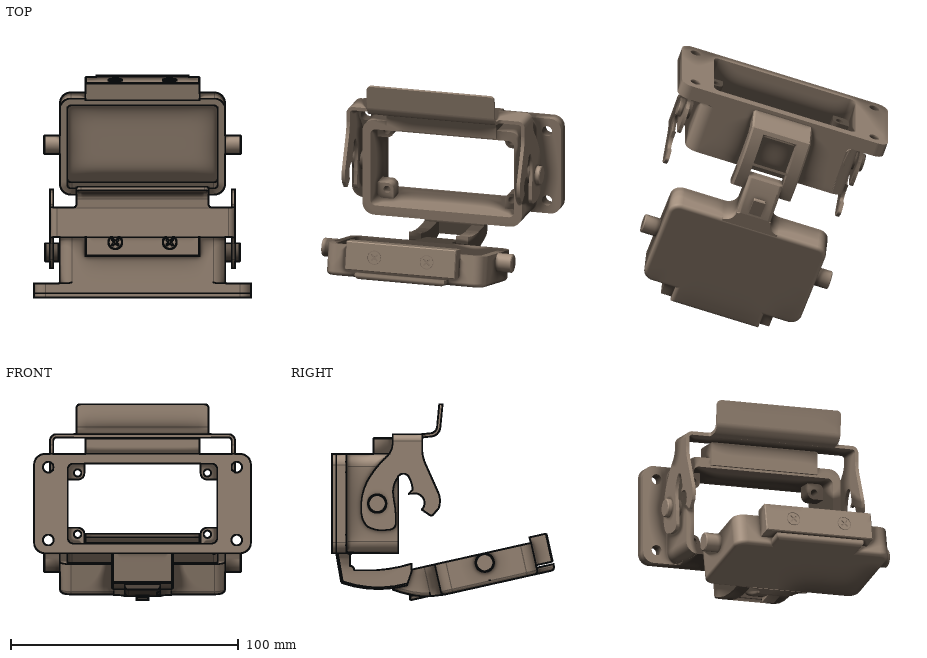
import cadquery as cq
import math


flange_width = 95.5
flange_half_x = flange_width / 2
flange_half_z = 21.9
flange_corner_radius = 4.9
gasket_thickness = 1.9
flange_back_y = 6.3
mount_hole_x = 41.4
mount_hole_z = 16.0
mount_hole_diameter = 4.6

frame_back_y = 29.2
frame_half_x = 36.4
frame_half_z = flange_half_z
frame_corner_radius = 5.4
frame_root_fillet = 0.5
opening_half_x = 32.8
opening_half_z = 17.6
opening_corner_radius = 2.4

boss_size_x = 7.3
boss_size_z = 7.0
boss_front_y = 9.7
boss_back_y = 17.7
boss_corner_radius = 2.9
boss_hole_x = 28.5
boss_hole_z = 13.5
boss_hole_diameter = 3.1

strip_half_x = 25.1
strip_chamfer = 0.4
strip_length = 12.3
frame_strip_front_y = 18.3
frame_strip_top_z = 28.9
screw_spacing = 23.9
screw_radius = 3.1
screw_ring_width = 0.3
cross_length = 3.9
cross_width = 0.8
screw_mark_depth = 0.4

arm_half_x = 13.6
arm_edge_chamfer = 0.8
arm_root_z = -20.9
arm_inner_z = -29.2
arm_post_back_y = 8.0
arm_inner_radius = 1.9
arm_toe_chamfer = 0.5
arm_tip_y = 35.1
arm_belly_y = 19.8
arm_belly_z = -37.6
arm_toe_y = 4.1
arm_toe_z = -34.8
slot_half_x = 7.9
slot_front_y = 6.35

lever_half_x = 40.7
sheet = 1.6
lever_top_z = 30.6
lever_bend_radius = 3.0
strap_front_y = 26.7
strap_back_y = 39.8
grip_half_x = 29.1
grip_root_slope = 6.0
grip_lean = 5.5
grip_bend_y = 43.2
grip_bend_z = 34.0
grip_bend_radius = 3.0
grip_top_z = 43.8
grip_corner_radius = 2.0
grip_root_radius = 1.2

pin_radius = 4.1
pin_end_chamfer = 0.4
pivot_y = 19.9
pivot_outer_x = 43.0
pivot_left_inner_x = 37.0
pivot_right_inner_x = frame_half_x
cover_pin_outer_x = 43.4

cover_tilt = 12.6
cover_pin_y = 67.2
cover_pin_z = -26.0
cover_half_x = 36.3
cover_near_y = -21.6
cover_far_y = 21.8
cover_rim_z = pin_radius
cover_bottom_z = -9.9
cover_corner_radius = 4.9
cover_bottom_fillet = 1.8
cover_floor = 1.9
cover_cavity_half_x = 33.1
cover_cavity_half_y = 18.8
cover_cavity_radius = 2.0
cover_strip_back_y = 29.3
cover_strip_top_z = 6.6
cover_strip_bottom_z = -6.1
lip_half_x = 20.4
lip_back_y = 29.4
lip_thickness = 2.7
tongue_half_x = 7.8
tongue_root_radius = 4.9
tongue_tip_y = -42.1
tongue_tip_z = -2.7
tongue_bottom_fillet = 1.6
tongue_root_y = -27.0
tongue_root_z = -9.2
tongue_mid_y = -35.2
tongue_mid_z = -6.5
tab_half_x = 2.7
tab_tip_y = -35.6
tab_root_y = -23.4
tab_bottom_z = -9.0
tab_thickness = 1.9
tab_chamfer = 0.4

strip_embed = 0.2
embed = 1.0


def block(x0, x1, y0, y1, z0, z1):
    """Box between two opposite corners."""
    return cq.Workplane("XY").box(x1 - x0, y1 - y0, z1 - z0, centered=False).translate((x0, y0, z0))


def plate_y(half_x, half_z, radius, y0, y1):
    """Rounded rectangle centred on the Y axis, from y0 to y1."""
    depth = y1 - y0
    plate = cq.Workplane("XZ", origin=(0, y0, 0)).rect(2 * half_x, 2 * half_z).extrude(-depth)
    return plate.edges("|Y").fillet(radius)


def cylinder_y(x, z, diameter, y0, y1):
    """Cylinder along Y."""
    return cq.Workplane("XZ", origin=(x, y0, z)).circle(diameter / 2).extrude(y0 - y1)


def side_profile(half_x):
    """Workplane drawn in Y and Z whose extrusion of 2 * half_x is centred on X = 0."""
    return cq.Workplane("YZ", origin=(-half_x, 0, 0))


def pin(inner_x, outer_x, y, z):
    """Pin along X with its free end chamfered."""
    free_end = ">X" if outer_x > 0 else "<X"
    body = cq.Workplane("YZ", origin=(inner_x, y, z)).circle(pin_radius).extrude(outer_x - inner_x)
    return body.faces(free_end).chamfer(pin_end_chamfer)


def screw_marks():
    """Ring and cross grooves of two screw heads, sunk below the plane Z = 0."""
    heads = cq.Workplane("XY").pushPoints([(-screw_spacing / 2, 0), (screw_spacing / 2, 0)])
    rings = heads.circle(screw_radius).circle(screw_radius - screw_ring_width).extrude(-screw_mark_depth)
    bars = heads.slot2D(cross_length, cross_width, 45).extrude(-screw_mark_depth)
    bars = bars.union(heads.slot2D(cross_length, cross_width, -45).extrude(-screw_mark_depth))
    return rings.union(bars)


def cut_mount_holes(body):
    """Four mounting holes through the flange and the gasket."""
    for x in (-mount_hole_x, mount_hole_x):
        for z in (-mount_hole_z, mount_hole_z):
            body = body.cut(cylinder_y(x, z, mount_hole_diameter, 0, flange_back_y))
    return body


def opening(y0, y1):
    """Rectangular passage through the gasket and the frame."""
    return plate_y(opening_half_x, opening_half_z, opening_corner_radius, y0, y1)


def make_gasket():
    """Flat seal in front of the flange."""
    gasket = plate_y(flange_half_x, flange_half_z, flange_corner_radius, 0, gasket_thickness)
    return cut_mount_holes(gasket.cut(opening(0, gasket_thickness)))


def frame_shell():
    """Flange with the frame standing on it, filleted where the side walls meet the flange."""
    flange = plate_y(flange_half_x, flange_half_z, flange_corner_radius, gasket_thickness, flange_back_y)
    frame = plate_y(frame_half_x, frame_half_z, frame_corner_radius, flange_back_y, frame_back_y)
    shell = flange.union(frame)
    for x in (-frame_half_x, frame_half_x):
        root_edge = cq.selectors.NearestToPointSelector((x, flange_back_y, 0))
        shell = shell.edges(root_edge).fillet(frame_root_fillet)
    return shell


def frame_bosses():
    """Bored screw bosses in the four corners of the passage."""
    bosses = cq.Workplane("XY")
    for side_x in (-1, 1):
        for side_z in (-1, 1):
            outer_x = opening_half_x + embed
            outer_z = opening_half_z + embed
            boss = block(opening_half_x - boss_size_x, outer_x, boss_front_y, boss_back_y,
                         opening_half_z - boss_size_z, outer_z)
            boss = boss.edges("|Y and <X and <Z").fillet(boss_corner_radius)
            hole = cylinder_y(boss_hole_x, boss_hole_z, boss_hole_diameter, boss_front_y, boss_back_y)
            boss = boss.cut(hole)
            if side_x < 0:
                boss = boss.mirror("YZ")
            if side_z < 0:
                boss = boss.mirror("XY")
            bosses = bosses.union(boss)
    return bosses


def frame_strip():
    """Screw strip on top of the frame."""
    back_y = frame_strip_front_y + strip_length
    strip = block(-strip_half_x, strip_half_x, frame_strip_front_y, back_y, opening_half_z + embed,
                  frame_strip_top_z)
    strip = strip.faces(">Z").chamfer(strip_chamfer)
    middle_y = frame_strip_front_y + strip_length / 2
    return strip.cut(screw_marks().translate((0, middle_y, frame_strip_top_z)))


def hinge_arm():
    """Curved arm reaching back below the frame, forked around the cover tongue."""
    arm = (
        side_profile(arm_half_x)
        .moveTo(gasket_thickness, arm_root_z)
        .lineTo(arm_post_back_y, arm_root_z)
        .lineTo(arm_post_back_y, arm_inner_z + arm_inner_radius)
        .radiusArc((arm_post_back_y + arm_inner_radius, arm_inner_z), arm_inner_radius)
        .lineTo(arm_belly_y, arm_inner_z)
        .threePointArc((27.6, -28.2), (arm_tip_y, -26.4))
        .lineTo(arm_tip_y, -29.8)
        .lineTo(33.0, -36.0)
        .threePointArc((arm_belly_y, arm_belly_z), (arm_toe_y, arm_toe_z))
        .lineTo(gasket_thickness, -flange_half_z)
        .close()
        .extrude(2 * arm_half_x)
    )
    for x in (-arm_half_x, arm_half_x):
        front_edge = ((gasket_thickness + arm_toe_y) / 2, (arm_toe_z - flange_half_z) / 2)
        for y, z in (front_edge, (arm_belly_y, arm_belly_z)):
            rim = cq.selectors.NearestToPointSelector((x, y, z))
            arm = arm.edges(rim).chamfer(arm_edge_chamfer)
    toe = cq.selectors.NearestToPointSelector((0, arm_toe_y, arm_toe_z))
    arm = arm.edges(toe).chamfer(arm_toe_chamfer)
    slot = block(-slot_half_x, slot_half_x, slot_front_y, arm_tip_y, arm_belly_z, arm_inner_z)
    post_end_y = arm_post_back_y + arm_inner_radius
    tip_slot = block(-slot_half_x, slot_half_x, post_end_y, arm_tip_y, arm_inner_z, arm_root_z)
    return arm.cut(slot).cut(tip_slot)


def pivot_pins():
    """Lever pivots; the left one stops short of the frame, the right one touches it."""
    left = pin(-pivot_left_inner_x, -pivot_outer_x, pivot_y, 0)
    right = pin(pivot_right_inner_x, pivot_outer_x, pivot_y, 0)
    return left, right


def make_housing():
    housing = frame_shell().union(frame_strip()).cut(opening(0, frame_strip_front_y + strip_length))
    return cut_mount_holes(housing).union(frame_bosses()).union(hinge_arm())


def lever_legs():
    """Two hooked legs cut from the same side outline."""
    top_z = lever_top_z - lever_bend_radius
    outline = (
        side_profile(lever_half_x)
        .moveTo(strap_back_y, lever_top_z)
        .lineTo(strap_back_y, 23.5)
        .threePointArc((40.2, 20.5), (41.1, 17.6))
        .lineTo(46.6, 5.3)
        .threePointArc((47.6, 1.5), (47.0, -2.1))
        .lineTo(44.6, -4.9)
        .threePointArc((43.8, -5.3), (43.0, -5.1))
        .lineTo(39.5, -2.6)
        .threePointArc((40.5, 1.4), (36.9, 4.4))
        .lineTo(33.7, 4.2)
        .lineTo(35.5, 6.1)
        .threePointArc((35.1, 8.6), (34.0, 11.3))
        .threePointArc((31.5, 13.1), (28.9, 11.4))
        .threePointArc((27.2, 7.6), (27.1, 2.9))
        .lineTo(27.9, -2.7)
        .lineTo(28.1, -8.9)
        .threePointArc((27.3, -10.65), (25.0, -11.4))
        .threePointArc((20.1, -11.6), (15.7, -10.2))
        .threePointArc((13.8, -7.4), (13.0, -3.4))
        .threePointArc((13.6, 4.6), (16.9, 12.1))
        .threePointArc((20.2, 16.6), (23.9, 20.5))
        .threePointArc((25.9, 23.1), (strap_front_y, 25.8))
        .lineTo(strap_front_y, lever_top_z)
        .close()
        .extrude(2 * lever_half_x)
    )
    inside_half_x = lever_half_x - sheet
    reach = 2 * strap_back_y
    return outline.cut(block(-inside_half_x, inside_half_x, 0, reach, -reach, top_z))


def lever_strap():
    """Channel bent over the frame, open below; its corners also trim the legs."""
    half = lever_half_x
    inner = half - sheet
    bottom = -strap_back_y
    outer = block(-half, half, 0, 2 * strap_back_y, bottom, lever_top_z)
    outer = outer.edges("|Y and >Z").fillet(lever_bend_radius)
    hollow = block(-inner, inner, 0, 2 * strap_back_y, bottom, lever_top_z - sheet)
    hollow = hollow.edges("|Y and >Z").fillet(lever_bend_radius - sheet)
    return outer.cut(hollow)


def lever_grip():
    """Finger grip: sheet rising gently from the strap, then bent up and leaning back."""
    lean = math.radians(grip_lean)
    slope = math.radians(grip_root_slope)
    inner = grip_bend_radius
    outer = inner + sheet
    root_y = strap_back_y - embed

    def around_bend(radius, angle):
        return grip_bend_y + radius * math.cos(angle), grip_bend_z + radius * math.sin(angle)

    def at_root(point):
        return root_y, point[1] - (point[0] - root_y) * math.tan(slope)

    def at_top(point):
        return point[0] + grip_height * math.sin(lean), point[1] + grip_height * math.cos(lean)

    root_angle = slope - math.pi / 2
    grip_height = (grip_top_z - around_bend(inner, -lean)[1]) / math.cos(lean)
    bent_sheet = (
        side_profile(lever_half_x)
        .moveTo(*at_root(around_bend(outer, root_angle)))
        .lineTo(*around_bend(outer, root_angle))
        .radiusArc(around_bend(outer, -lean), -outer)
        .lineTo(*at_top(around_bend(outer, -lean)))
        .lineTo(*at_top(around_bend(inner, -lean)))
        .lineTo(*around_bend(inner, -lean))
        .radiusArc(around_bend(inner, root_angle), inner)
        .lineTo(*at_root(around_bend(inner, root_angle)))
        .close()
        .extrude(2 * lever_half_x)
    )
    flare_half_x = grip_half_x + grip_root_radius
    far_y = strap_back_y + grip_top_z
    plan = (
        cq.Workplane("XY")
        .moveTo(-flare_half_x, root_y)
        .lineTo(-flare_half_x, strap_back_y)
        .radiusArc((-grip_half_x, strap_back_y + grip_root_radius), -grip_root_radius)
        .lineTo(-grip_half_x, far_y)
        .lineTo(grip_half_x, far_y)
        .lineTo(grip_half_x, strap_back_y + grip_root_radius)
        .radiusArc((flare_half_x, strap_back_y), -grip_root_radius)
        .lineTo(flare_half_x, root_y)
        .close()
        .extrude(grip_top_z)
    )
    grip = bent_sheet.intersect(plan)
    return grip.faces(">Z").edges("not |X").fillet(grip_corner_radius)


def make_lever():
    lever = lever_legs().intersect(lever_strap()).union(lever_grip())
    for pivot in pivot_pins():
        lever = lever.union(pivot)
    return lever


def cover_tray():
    """Outer shape of the cover, rounded below."""
    tray = block(-cover_half_x, cover_half_x, cover_near_y, cover_far_y, cover_bottom_z, cover_rim_z)
    tray = tray.edges("|Z").fillet(cover_corner_radius)
    return tray.faces("<Z").edges().fillet(cover_bottom_fillet)


def cover_cavity():
    """Hollow of the cover, open at the rim."""
    cavity = block(-cover_cavity_half_x, cover_cavity_half_x, -cover_cavity_half_y, cover_cavity_half_y,
                   cover_bottom_z + cover_floor, cover_rim_z)
    return cavity.edges("|Z").fillet(cover_cavity_radius)


def cover_strip():
    """Screw strip on the far wall, and the lip below it."""
    strip = block(-strip_half_x, strip_half_x, cover_far_y - strip_embed, cover_strip_back_y,
                  cover_strip_bottom_z, cover_strip_top_z)
    strip = strip.edges(">Y").chamfer(strip_chamfer)
    marks = screw_marks().rotate((0, 0, 0), (1, 0, 0), -90)
    middle_z = (cover_strip_bottom_z + cover_strip_top_z) / 2
    strip = strip.cut(marks.translate((0, cover_strip_back_y, middle_z)))
    lip = block(-lip_half_x, lip_half_x, cover_far_y - 2 * embed, lip_back_y,
                cover_bottom_z, cover_bottom_z + lip_thickness)
    lip = lip.faces("<Z").edges("not <Y").fillet(cover_bottom_fillet)
    return strip.union(lip)


def tongue_side(half_x, front_y):
    """Curved side shape of the hinge tongue, from the tray wall out to front_y at most."""
    root_y = cover_near_y + embed
    end_slope = math.tan(math.radians(cover_tilt))
    end_top_y = tongue_tip_y + (cover_rim_z - tongue_tip_z) * end_slope
    shape = (
        side_profile(half_x)
        .moveTo(root_y, cover_rim_z)
        .lineTo(end_top_y, cover_rim_z)
        .lineTo(tongue_tip_y, tongue_tip_z)
        .threePointArc((tongue_mid_y, tongue_mid_z), (tongue_root_y, tongue_root_z))
        .lineTo(root_y, cover_bottom_z)
        .close()
        .extrude(2 * half_x)
    )
    return shape.intersect(block(-half_x, half_x, front_y, root_y, cover_bottom_z, cover_rim_z))


def cover_tongue():
    """Hinge tongue: a bar rounded along its lower edges, flaring out where it leaves the tray."""
    bar = tongue_side(tongue_half_x, tongue_tip_y)
    for x in (-tongue_half_x, tongue_half_x):
        keel = cq.selectors.NearestToPointSelector((x, tongue_mid_y, tongue_mid_z))
        bar = bar.edges(keel).fillet(tongue_bottom_fillet)
    flare_half_x = tongue_half_x + tongue_root_radius
    bar_root_y = cover_near_y - tongue_root_radius
    flare = tongue_side(flare_half_x, bar_root_y)
    for x in (-flare_half_x, flare_half_x):
        flare = flare.cut(
            cq.Workplane("XY", origin=(x, bar_root_y, cover_bottom_z))
            .circle(tongue_root_radius)
            .extrude(cover_rim_z - cover_bottom_z)
        )
    return bar.union(flare)


def cover_tab():
    """Small stop tab under the tongue."""
    tab = block(-tab_half_x, tab_half_x, tab_tip_y, tab_root_y, tab_bottom_z, tab_bottom_z + tab_thickness)
    return tab.faces("<Y").chamfer(tab_chamfer)


def make_cover():
    cover = cover_tray().union(cover_strip()).union(cover_tongue()).union(cover_tab())
    for side in (-1, 1):
        cover = cover.union(pin(side * (cover_half_x - embed), side * cover_pin_outer_x, 0, 0))
    cover = cover.cut(cover_cavity())
    return cover.rotate((0, 0, 0), (1, 0, 0), cover_tilt).translate((0, cover_pin_y, cover_pin_z))


housing = make_housing()
gasket = make_gasket()
lever = make_lever()
cover = make_cover()

bodies = [housing, gasket, lever, cover]
result = cq.Compound.makeCompound([body.solids().val() for body in bodies])